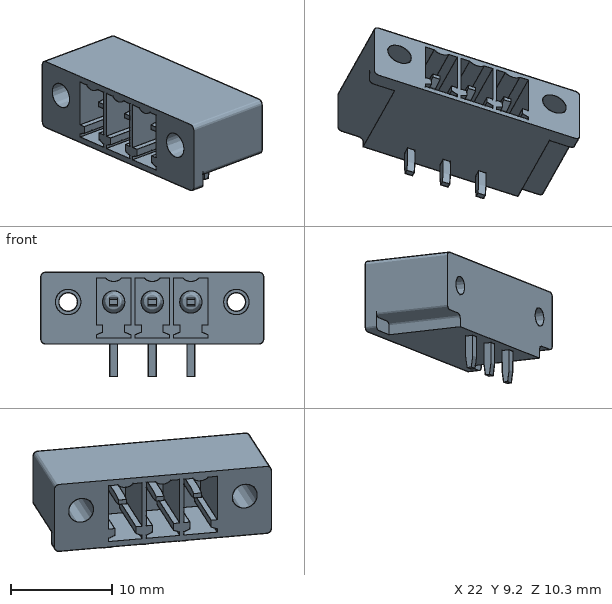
import cadquery as cq
import math

HOUSING_WIDTH = 22.02
HOUSING_DEPTH = 9.2
HOUSING_HEIGHT = 7.11
CORNER_RADIUS = 0.5
BACK_WALL = 2.0
FRONT_Y = -HOUSING_DEPTH / 2
BACK_Y = HOUSING_DEPTH / 2
CAVITY_DEPTH = HOUSING_DEPTH - BACK_WALL

AXIS_HEIGHT = 4.16

MOUNT_SPACING = 16.6

FLANGE_THICKNESS = 1.25
FOOT_HEIGHT = 0.8
UNDERCUT_RADIUS = CORNER_RADIUS
FOOT_WIDTH = MOUNT_SPACING
UNDERCUT_DEPTH = (HOUSING_WIDTH - FOOT_WIDTH) / 2
SHOULDER_HEIGHT = FOOT_HEIGHT + UNDERCUT_RADIUS

MOUNT_BORE_RADIUS = 1.25
MOUNT_HOLE_RADIUS = 0.9

POLE_COUNT = 3
POLE_PITCH = 3.8
POLE_XS = [(i - (POLE_COUNT - 1) / 2) * POLE_PITCH for i in range(POLE_COUNT)]
POCKET_WIDTH = 3.4
POCKET_WALL = 0.6
POCKET_FLOOR_Z = POCKET_WALL
POCKET_ROOF_Z = HOUSING_HEIGHT - POCKET_WALL

RIB_WIDTH = 0.62
RIB_TOP_Z = 1.92
RIB_NOSE_Z = 1.2
RIB_ROOT_Z = 0.92

KEY_WIDTH = 1.56
KEY_DROP = 0.33

BOSS_BASE_RADIUS = 1.1
BOSS_TOP_RADIUS = 0.8
BOSS_LENGTH = 0.88
BOSS_ROUNDING = 0.18

PIN_SIZE = 0.8
PIN_TIP_SETBACK = 1.25
PIN_TIP_SIZE = 0.46
PIN_TAPER = 1.12
PIN_DROP = 3.2
LEG_CENTER_TO_BACK = 1.2
LEG_Y = BACK_Y - LEG_CENTER_TO_BACK


def y_prism(outline, start_y, length):
    """Extrude an XZ outline along +Y from start_y."""
    plane = cq.Plane(origin=(0, start_y, 0), xDir=(1, 0, 0), normal=(0, -1, 0))
    return outline(cq.Workplane(plane)).extrude(-length)


def mounting_hole(x):
    center = (x, AXIS_HEIGHT)
    through = y_prism(
        lambda wp: wp.pushPoints([center]).circle(MOUNT_HOLE_RADIUS), FRONT_Y, HOUSING_DEPTH
    )
    bore = y_prism(
        lambda wp: wp.pushPoints([center]).circle(MOUNT_BORE_RADIUS),
        FRONT_Y,
        CAVITY_DEPTH,
    )
    return through.union(bore)


def side_undercut():
    """Cutter for the -X side: from the rounded side wall, under the shoulder, to the foot."""
    side_x = -HOUSING_WIDTH / 2
    foot_x = side_x + UNDERCUT_DEPTH
    arc_inset = UNDERCUT_RADIUS * (1 - math.sqrt(0.5))
    return y_prism(
        lambda wp: wp.moveTo(side_x, 0)
        .lineTo(foot_x, 0)
        .lineTo(foot_x, FOOT_HEIGHT)
        .threePointArc(
            (foot_x - arc_inset, SHOULDER_HEIGHT - arc_inset),
            (foot_x - UNDERCUT_RADIUS, SHOULDER_HEIGHT),
        )
        .lineTo(side_x + UNDERCUT_RADIUS, SHOULDER_HEIGHT)
        .threePointArc(
            (side_x + arc_inset, SHOULDER_HEIGHT + arc_inset),
            (side_x, SHOULDER_HEIGHT + UNDERCUT_RADIUS),
        )
        .close(),
        FRONT_Y + FLANGE_THICKNESS,
        HOUSING_DEPTH - FLANGE_THICKNESS,
    )


def pocket(x):
    """Keyed contact pocket, open at the mating face."""
    half_width = POCKET_WIDTH / 2
    rib_x = half_width - RIB_WIDTH
    half_key = KEY_WIDTH / 2
    return y_prism(
        lambda wp: wp.moveTo(x - half_width, POCKET_FLOOR_Z)
        .lineTo(x + half_width, POCKET_FLOOR_Z)
        .lineTo(x + half_width, RIB_ROOT_Z)
        .lineTo(x + rib_x, RIB_NOSE_Z)
        .lineTo(x + rib_x, RIB_TOP_Z)
        .lineTo(x + half_width, RIB_TOP_Z)
        .lineTo(x + half_width, POCKET_ROOF_Z)
        .lineTo(x + half_key, POCKET_ROOF_Z)
        .threePointArc((x, POCKET_ROOF_Z - KEY_DROP), (x - half_key, POCKET_ROOF_Z))
        .lineTo(x - half_width, POCKET_ROOF_Z)
        .lineTo(x - half_width, RIB_TOP_Z)
        .lineTo(x - rib_x, RIB_TOP_Z)
        .lineTo(x - rib_x, RIB_NOSE_Z)
        .lineTo(x - half_width, RIB_ROOT_Z)
        .close(),
        FRONT_Y,
        CAVITY_DEPTH,
    )


def boss(x):
    """Tapered, round-nosed boss standing on the pocket's end wall."""
    base = cq.Vector(x, FRONT_Y + CAVITY_DEPTH, AXIS_HEIGHT)
    cone = cq.Workplane(
        cq.Solid.makeCone(BOSS_BASE_RADIUS, BOSS_TOP_RADIUS, BOSS_LENGTH, base, cq.Vector(0, -1, 0))
    )
    return cone.faces("<Y").edges().fillet(BOSS_ROUNDING)


def make_pin(x):
    """L-shaped contact pin: a contact arm along Y and a solder leg going down."""
    half = PIN_SIZE / 2
    half_tip = PIN_TIP_SIZE / 2
    tip_y = FRONT_Y + PIN_TIP_SETBACK
    arm_top_z = AXIS_HEIGHT + half
    arm_bottom_z = AXIS_HEIGHT - half
    profile = [
        (tip_y, AXIS_HEIGHT + half_tip),
        (tip_y + PIN_TAPER, arm_top_z),
        (LEG_Y + half, arm_top_z),
        (LEG_Y + half, PIN_TAPER - PIN_DROP),
        (LEG_Y + half_tip, -PIN_DROP),
        (LEG_Y - half_tip, -PIN_DROP),
        (LEG_Y - half, PIN_TAPER - PIN_DROP),
        (LEG_Y - half, arm_bottom_z),
        (tip_y + PIN_TAPER, arm_bottom_z),
        (tip_y, AXIS_HEIGHT - half_tip),
    ]
    plane = cq.Workplane("YZ", origin=(x, 0, 0))
    return plane.polyline(profile).close().extrude(half, both=True)


def make_housing(pins):
    housing = (
        cq.Workplane("XY")
        .box(HOUSING_WIDTH, HOUSING_DEPTH, HOUSING_HEIGHT, centered=(True, True, False))
        .edges("|Y")
        .fillet(CORNER_RADIUS)
    )
    undercut = side_undercut()
    housing = housing.cut(undercut).cut(undercut.mirror("YZ"))
    for x in (-MOUNT_SPACING / 2, MOUNT_SPACING / 2):
        housing = housing.cut(mounting_hole(x))
    for x in POLE_XS:
        housing = housing.cut(pocket(x)).union(boss(x))
    for pin in pins:
        housing = housing.cut(pin)
    return housing


pins = [make_pin(x) for x in POLE_XS]
housing = make_housing(pins)

result = cq.Compound.makeCompound([housing.val(), *[pin.val() for pin in pins]])